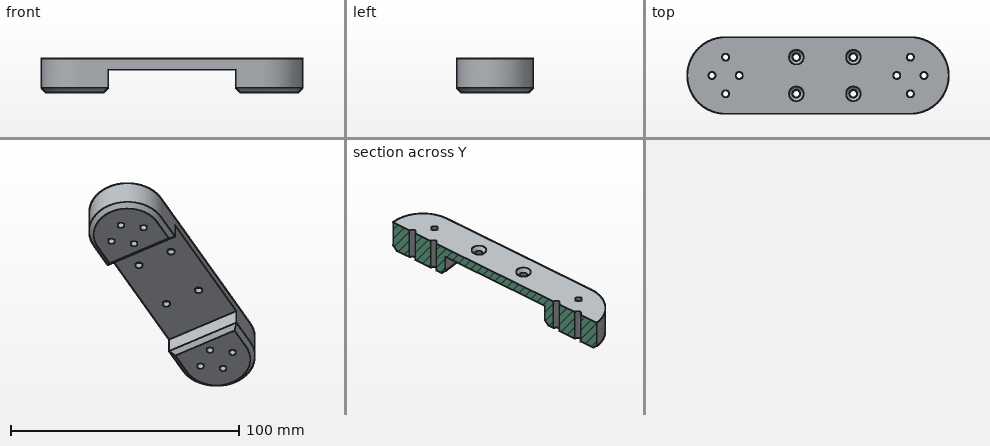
import cadquery as cq

length = 114.6
width = 33.7
height = 15.0
end_center_x = (length - width) / 2

plate_thickness = 5.0
foot_height = height - plate_thickness
foot_gap = 55.7
foot_chamfer = 2.1

end_hole_diameter = 3.0
end_hole_offset_x = 6.0
end_hole_offset_y = 8.0

screw_center_x = 3.0
screw_spacing_x = 25.0
screw_spacing_y = 16.0
screw_hole_diameter = 3.2
countersink_diameter = 6.4
countersink_angle = 90.0


def make_body():
    """Round-ended block with the gap between the feet removed."""
    block = cq.Workplane("XY").slot2D(length, width).extrude(height)
    gap = cq.Workplane("XY").box(foot_gap, width, foot_height, centered=(True, True, False))
    return block.cut(gap)


def chamfer_feet(body):
    """Bevel the whole bottom outline of both feet."""
    return body.faces("<Z").edges().chamfer(foot_chamfer)


def drill_end_holes(body):
    """Drill the diamond of holes through each foot."""
    diamond = [
        (-end_hole_offset_x, 0),
        (end_hole_offset_x, 0),
        (0, -end_hole_offset_y),
        (0, end_hole_offset_y),
    ]
    for center_x in (-end_center_x, end_center_x):
        body = (
            body.faces(">Z")
            .workplane(origin=(center_x, 0, height))
            .pushPoints(diamond)
            .hole(end_hole_diameter)
        )
    return body


def drill_screw_holes(body):
    """Drill the countersunk holes through the thin plate from above."""
    return (
        body.faces(">Z")
        .workplane(origin=(screw_center_x, 0, height))
        .rarray(screw_spacing_x, screw_spacing_y, 2, 2)
        .cskHole(screw_hole_diameter, countersink_diameter, countersink_angle)
    )


result = drill_screw_holes(drill_end_holes(chamfer_feet(make_body())))